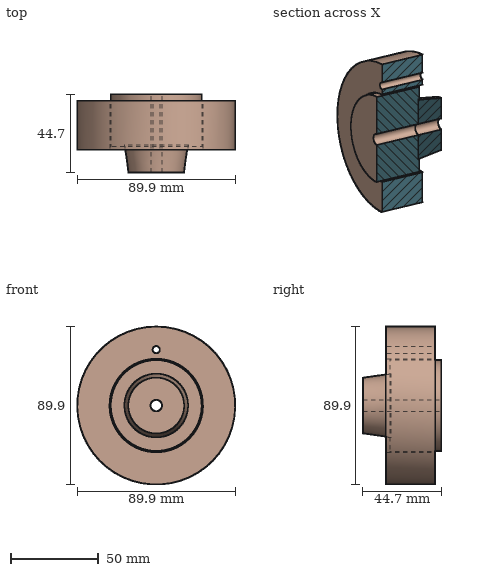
import cadquery as cq


wheel_diameter = 89.9
wheel_width = 28.1
bore_diameter = 53.0
pin_hole_diameter = 4.0
pin_hole_offset = 31.75

hub_diameter = 51.9
hub_recess = 2.2
hub_back_overhang = 3.6
hub_length = wheel_width + hub_back_overhang - hub_recess

knob_base_diameter = 36.25
knob_tip_diameter = 31.75
knob_front_overhang = 12.95
pocket_depth = 0.7
knob_base_y = hub_recess + pocket_depth
knob_length = knob_front_overhang + knob_base_y

centre_hole_diameter = 6.4


def rod(diameter, length, start_y, z=0.0):
    """Cylinder that runs along +Y from start_y."""
    start = cq.Vector(0, start_y, z)
    return cq.Workplane(cq.Solid.makeCylinder(diameter / 2, length, start, cq.Vector(0, 1, 0)))


def make_wheel():
    rim = rod(wheel_diameter, wheel_width, 0.0)
    bore = rod(bore_diameter, wheel_width, 0.0)
    pin_hole = rod(pin_hole_diameter, wheel_width, 0.0, z=pin_hole_offset)
    return rim.cut(bore).cut(pin_hole)


def make_hub():
    disc = rod(hub_diameter, hub_length, hub_recess)
    knob_pocket = rod(knob_base_diameter, pocket_depth, hub_recess)
    centre_hole = rod(centre_hole_diameter, hub_length, hub_recess)
    return disc.cut(knob_pocket).cut(centre_hole)


def make_knob():
    base_centre = cq.Vector(0, knob_base_y, 0)
    toward_front = cq.Vector(0, -1, 0)
    cone = cq.Workplane(
        cq.Solid.makeCone(
            knob_base_diameter / 2, knob_tip_diameter / 2, knob_length, base_centre, toward_front
        )
    )
    centre_hole = rod(centre_hole_diameter, knob_length, -knob_front_overhang)
    return cone.cut(centre_hole)


wheel = make_wheel().solids()
hub = make_hub().solids()
knob = make_knob().solids()

result = cq.Compound.makeCompound([wheel.val(), hub.val(), knob.val()])